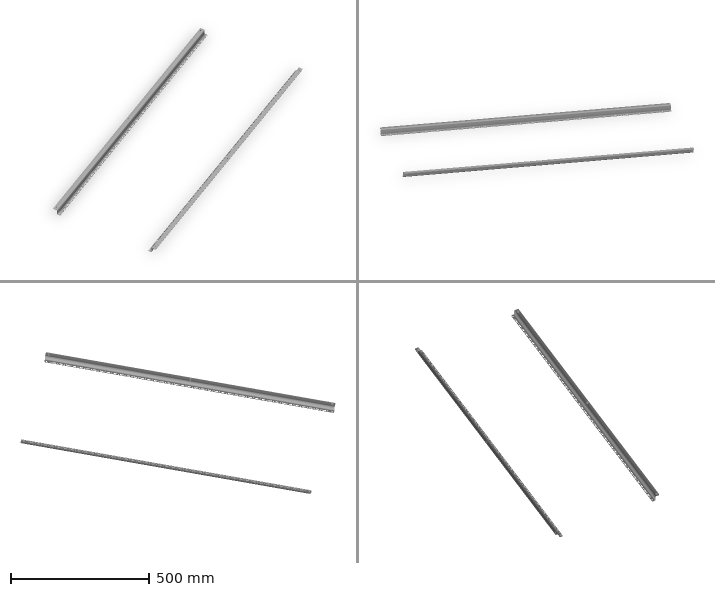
import cadquery as cq

TOTAL_WIDTH = 427.0
RAIL_LENGTH = 1073.0
RAIL_HEIGHT = 21.0

SHEET = 1.5
INNER_BEND = 1.8
OUTER_BEND = INNER_BEND + SHEET
TOP_FLANGE_WIDTH = 18.0
SECTION_WIDTH = 30.0
CORNER_RADIUS = 3.1

OUTER_EDGE_X = -TOTAL_WIDTH / 2
WEB_INNER_X = OUTER_EDGE_X + TOP_FLANGE_WIDTH
WEB_OUTER_X = WEB_INNER_X - SHEET
INNER_EDGE_X = OUTER_EDGE_X + SECTION_WIDTH
TOP_Z = RAIL_HEIGHT / 2
BOTTOM_Z = -TOP_Z

SLOT_COUNT = 41
SLOT_SPAN = 1000.0
PITCH = SLOT_SPAN / (SLOT_COUNT - 1)
HOLE_COUNT = SLOT_COUNT + 1
HOLE_DIAMETER = 4.5
SLOT_LENGTH = PITCH / 2
SLOT_WIDTH = HOLE_DIAMETER
PERFORATION_INSET = 3.9
PERFORATION_X = INNER_EDGE_X - PERFORATION_INSET

END_HOLE_DIAMETER = 5.0
END_HOLE_MARGIN = 8.0
END_HOLE_Y = RAIL_LENGTH / 2 - END_HOLE_MARGIN

NUT_INSET = 7.1
NUT_X = OUTER_EDGE_X + NUT_INSET
NUT_END_Y = SLOT_SPAN / 2 + PITCH
NUT_STATIONS = [-NUT_END_Y, 0, NUT_END_Y]
NUT_SHANK_DIAMETER = 7.1
NUT_COLLAR_DIAMETER = 9.0
NUT_COLLAR_HEIGHT = 3.9
NUT_BORE_DIAMETER = 4.0
NUT_HEIGHT = SHEET + NUT_COLLAR_HEIGHT


def make_profile():
    """Bent sheet: top flange outward, vertical web, bottom flange inward."""
    strip = (
        cq.Workplane("XZ", origin=(0, RAIL_LENGTH / 2, 0))
        .moveTo(OUTER_EDGE_X, TOP_Z)
        .lineTo(WEB_INNER_X, TOP_Z)
        .lineTo(WEB_INNER_X, BOTTOM_Z + SHEET)
        .lineTo(INNER_EDGE_X, BOTTOM_Z + SHEET)
        .lineTo(INNER_EDGE_X, BOTTOM_Z)
        .lineTo(WEB_OUTER_X, BOTTOM_Z)
        .lineTo(WEB_OUTER_X, TOP_Z - SHEET)
        .lineTo(OUTER_EDGE_X, TOP_Z - SHEET)
        .close()
        .extrude(RAIL_LENGTH)
    )
    middle_y = 0
    outside_corners = [(WEB_INNER_X, middle_y, TOP_Z), (WEB_OUTER_X, middle_y, BOTTOM_Z)]
    inside_corners = [(WEB_OUTER_X, middle_y, TOP_Z - SHEET), (WEB_INNER_X, middle_y, BOTTOM_Z + SHEET)]
    for corner in outside_corners:
        strip = strip.edges(cq.NearestToPointSelector(corner)).fillet(OUTER_BEND)
    for corner in inside_corners:
        strip = strip.edges(cq.NearestToPointSelector(corner)).fillet(INNER_BEND)
    return strip


def round_corners(strip):
    """Round the free corners at both ends of the two flanges."""
    for free_edge in ("<X", ">X"):
        strip = strip.faces(free_edge).edges("|Z").fillet(CORNER_RADIUS)
    return strip


def bottom_flange_plane():
    """Workplane on the underside of the bottom flange, along the perforation line."""
    return cq.Workplane("XY", origin=(PERFORATION_X, 0, BOTTOM_Z))


def make_perforation():
    """Cutters for the round holes, the slots and the end holes."""
    plane = bottom_flange_plane()
    holes = plane.rarray(11, PITCH, 1, HOLE_COUNT).circle(HOLE_DIAMETER / 2).extrude(SHEET)
    slots = plane.rarray(11, PITCH, 1, SLOT_COUNT).rect(SLOT_WIDTH, SLOT_LENGTH).extrude(SHEET)
    end_holes = plane.rarray(11, 2 * END_HOLE_Y, 1, 2).circle(END_HOLE_DIAMETER / 2).extrude(SHEET)
    return holes.add(slots).add(end_holes).combine()


def make_nut_seats():
    """Cutters for the holes that take the nut shanks."""
    return (
        cq.Workplane("XY", origin=(NUT_X, 0, TOP_Z - SHEET))
        .pushPoints([(0, y) for y in NUT_STATIONS])
        .circle(NUT_SHANK_DIAMETER / 2)
        .extrude(SHEET)
    )


def make_rail():
    """Left rail with its perforated bottom flange and nut seats."""
    return round_corners(make_profile()).cut(make_perforation()).cut(make_nut_seats())


def make_nut(y):
    """Left nut at length y: shank flush with the flange top, collar under the flange."""
    return (
        cq.Workplane("XY", origin=(NUT_X, y, TOP_Z - NUT_HEIGHT))
        .circle(NUT_COLLAR_DIAMETER / 2)
        .extrude(NUT_COLLAR_HEIGHT)
        .faces(">Z")
        .workplane()
        .circle(NUT_SHANK_DIAMETER / 2)
        .extrude(SHEET)
        .faces(">Z")
        .workplane()
        .circle(NUT_BORE_DIAMETER / 2)
        .cutThruAll()
    )


left_bodies = [make_rail()]
for station in NUT_STATIONS:
    left_bodies.append(make_nut(station))
right_bodies = [body.mirror("YZ") for body in left_bodies]

result = cq.Compound.makeCompound([body.val() for body in left_bodies + right_bodies])